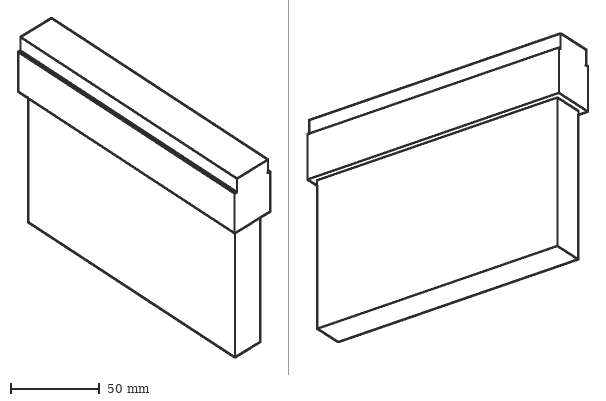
import cadquery as cq

length = 176.0
depth = 28.0
height = 134.0

panel_length = 168.0
panel_depth = 20.0
panel_height = 95.0

strip_depth = 24.5
strip_height = 9.9

band_height = height - panel_height - strip_height


def centred_block(size_x, size_y, size_z, bottom):
    """Block centred on the Z axis, standing on the given level."""
    return cq.Workplane("XY").workplane(offset=bottom).box(
        size_x, size_y, size_z, centered=(True, True, False)
    )


panel = centred_block(panel_length, panel_depth, panel_height, 0)
band = centred_block(length, depth, band_height, panel_height)
strip = centred_block(length, strip_depth, strip_height, panel_height + band_height)

result = panel.union(band).union(strip)